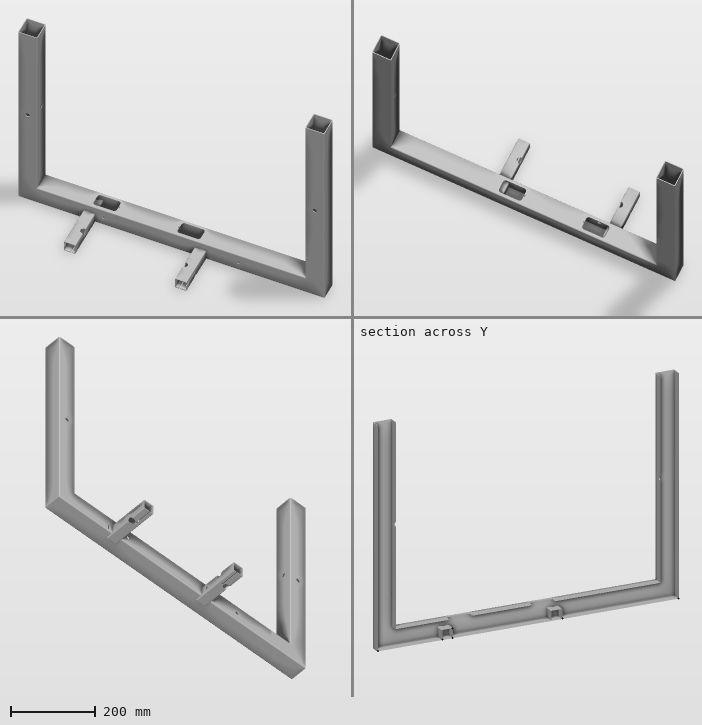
import cadquery as cq

frame_width = 794.0
frame_height = 570.0
tube = 50.0
tube_wall = 2.0
tube_radius = 3.0

post_hole_diameter = 11.0
post_hole_height = 293.0
post_side_hole_height = 313.0
beam_hole_diameter = 8.5
beam_hole_height = 24.5
beam_hole_offset = 175.0

stub_middle = -68.5
stub_offset = 144.0
stub = 30.0
stub_wall = 2.0
stub_radius = 3.0
stub_reach = 111.0
stub_bottom = -2.5
stub_floor_inset = 17.5

cross_hole_diameter = 16.0
cross_hole_distance = 61.0
cross_hole_slope = 50.0
cross_hole_drop = 3.5

side_hole_diameter = 8.0
side_hole_distance = 17.0
end_notch_diameter = 10.0

relief_diameter = 18.0
relief_shift = 4.0
relief_rise = 2.5

cut_length = 51.0
cut_width = 3.0
cut_shift = 4.0

window_offset = 109.0
window_length = 60.0
window_width = 34.0
window_radius = 7.0
window_notch_width = 3.0
window_notch_depth = 3.0
slit_offset = 170.0
slit_width = 3.0
slit_height = 16.0
slit_bottom = 4.0

half_width = frame_width / 2
stub_top = stub_bottom + stub
stub_axis_height = stub_bottom + stub / 2
stub_end = tube - tube_wall
sides = (-1, 1)


def square_bar(plane, size, radius, length, along):
    """Square bar with rounded long edges, extruded along the plane's normal."""
    return cq.Workplane(plane).rect(size, size).extrude(length).edges("|" + along).fillet(radius)


def square_tube(plane, size, wall, radius, length, along):
    bore = square_bar(plane, size - 2 * wall, radius - wall, length, along)
    return square_bar(plane, size, radius, length, along).cut(bore)


def front_hole(x, z, diameter):
    """Cutter for a hole through the front wall of the frame."""
    return cq.Workplane("XZ", origin=(x, 0, z)).circle(diameter / 2).extrude(tube / 2, both=True)


def beam_wedge():
    """Region that belongs to the beam, bounded by the two mitre planes."""
    corners = [(-half_width, 0), (half_width, 0), (0, half_width)]
    return cq.Workplane("XZ").polyline(corners).close().extrude(-tube)


def stub_x(side):
    return stub_middle + side * stub_offset


def stub_plane(side):
    """Plane at the tip of the stub, facing along it into the beam."""
    return cq.Plane(origin=(stub_x(side), -stub_reach, stub_axis_height), xDir=(1, 0, 0), normal=(0, 1, 0))


def floor_relief(side):
    """Cutter that removes the stub's underside where the stub stands on the beam's bottom wall."""
    height = tube_wall - stub_bottom
    block = cq.Workplane("XY").box(stub, tube, height, centered=(True, False, False))
    return block.translate((stub_x(side), stub_floor_inset, stub_bottom))


def make_post(side):
    x = side * (half_width - tube / 2)
    plane = cq.Plane(origin=(x, tube / 2, 0), xDir=(1, 0, 0), normal=(0, 0, 1))
    post = square_tube(plane, tube, tube_wall, tube_radius, frame_height, "Z")
    side_hole = cq.Workplane("YZ", origin=(x, tube / 2, post_side_hole_height))
    side_hole = side_hole.circle(post_hole_diameter / 2).extrude(-side * tube)
    return post.cut(beam_wedge()).cut(front_hole(x, post_hole_height, post_hole_diameter)).cut(side_hole)


def make_beam():
    plane = cq.Plane(origin=(-half_width, tube / 2, tube / 2), xDir=(0, 1, 0), normal=(1, 0, 0))
    body = square_tube(plane, tube, tube_wall, tube_radius, frame_width, "X").intersect(beam_wedge())
    for side in sides:
        body = body.cut(front_hole(side * beam_hole_offset, beam_hole_height, beam_hole_diameter))
        body = body.cut(stub_opening(side)).cut(window(side)).cut(slit(side))
    return body


def stub_opening(side):
    """Cutter for the stub's place in the beam, with the round relief above it."""
    place = square_bar(stub_plane(side), stub, stub_radius, stub_reach + stub_end, "Y")
    relief_z = stub_top + relief_rise - relief_diameter / 2
    relief = front_hole(stub_x(side) + side * relief_shift, relief_z, relief_diameter)
    return place.cut(floor_relief(side)).union(relief)


def window(side):
    """Cutter for an access window in the top wall, with a notch in the end nearer the other window."""
    x = stub_middle + side * window_offset
    opening = cq.Workplane("XY").box(window_length, window_width, tube).edges("|Z").fillet(window_radius)
    notch = cq.Workplane("XY").box(2 * window_notch_depth, window_notch_width, tube)
    opening = opening.union(notch.translate((-side * window_length / 2, 0, 0)))
    return opening.translate((x, tube / 2, tube))


def slit(side):
    block = cq.Workplane("XY").box(slit_width, tube, slit_height, centered=(True, True, False))
    return block.translate((stub_middle + side * slit_offset, 0, slit_bottom))


def make_stub(side):
    body = square_tube(stub_plane(side), stub, stub_wall, stub_radius, stub_reach + stub_end, "Y")
    body = body.cut(floor_relief(side)).cut(cross_hole(side)).cut(side_hole(side))
    return body.cut(end_notch(side)).cut(saw_cuts(side))


def cross_hole(side):
    hole = cq.Workplane("XY").circle(cross_hole_diameter / 2).extrude(stub, both=True)
    hole = hole.rotate((0, 0, 0), (0, 1, 0), -side * (90 - cross_hole_slope))
    return hole.translate((stub_x(side), -cross_hole_distance, stub_axis_height - cross_hole_drop))


def side_hole(side):
    start = cq.Workplane("YZ", origin=(stub_x(side), -side_hole_distance, stub_axis_height))
    return start.circle(side_hole_diameter / 2).extrude(-side * stub)


def end_notch(side):
    start = cq.Workplane("XY", origin=(stub_x(side), stub_end, stub_axis_height))
    return start.circle(end_notch_diameter / 2).extrude(stub)


def saw_cuts(side):
    """Cuts from the tip in the outer side wall and in the floor."""
    y = -stub_reach + cut_length / 2
    wall_cut = cq.Workplane("XY").box(stub / 2, cut_length, cut_width)
    wall_cut = wall_cut.translate((stub_x(side) + side * stub / 2, y, stub_axis_height + cut_shift))
    floor_cut = cq.Workplane("XY").box(cut_width, cut_length, stub / 2)
    return wall_cut.union(floor_cut.translate((stub_x(side) - side * cut_shift, y, stub_bottom)))


beam = make_beam()
posts = [make_post(side).val() for side in sides]
stubs = [make_stub(side).val() for side in sides]

result = cq.Compound.makeCompound([beam.val(), *posts, *stubs])